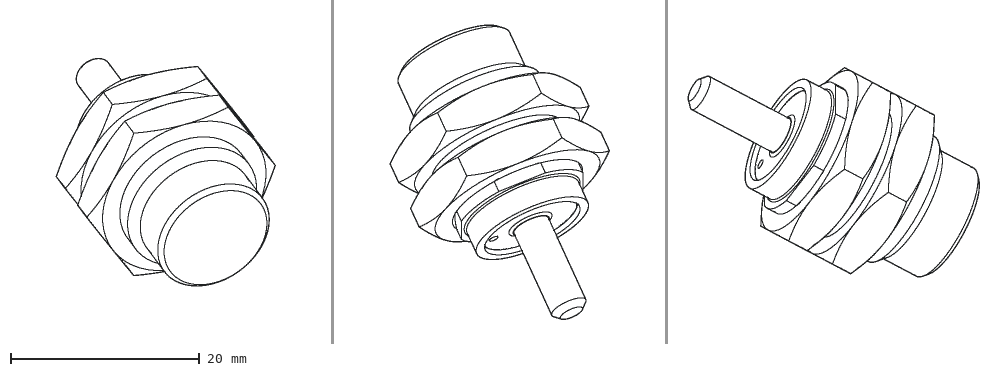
import cadquery as cq
import math

total_length = 32.0
thread_diameter = 15.0
end_diameter = 13.0
front_face_x = 10.5
relief_x = 13.05
shoulder_x = 13.25
relief_diameter = 13.38
rear_cone_end_x = 27.0
rear_cone_start_x = rear_cone_end_x - (thread_diameter - end_diameter) / 2
rear_chamfer = 0.5

recess_diameter = 11.0
recess_depth = 0.5
floor_chamfer = 0.15
guide_base_diameter = 5.0
guide_top_diameter = 4.2
guide_height = 0.2

pin_diameter = 4.0
pin_chamfer = 0.7
vent_diameter = 1.0
vent_depth = 1.0
vent_offset = 4.25

across_flats = 19.0
nut_thickness = 4.0
nut_starts = (14.5, 20.0)
nut_chamfer_angle = 30.0
flats_distance = 14.0
countersink_depth = (thread_diameter - flats_distance) / 2


def turned(points):
    """Revolve a closed (x, radius) outline about the X axis."""
    return cq.Workplane("XY").polyline(points).close().revolve(360, (0, 0, 0), (1, 0, 0))


def make_body():
    end_radius = end_diameter / 2
    thread_radius = thread_diameter / 2
    return turned([
        (front_face_x, 0),
        (front_face_x, end_radius),
        (relief_x, end_radius),
        (shoulder_x, relief_diameter / 2),
        (shoulder_x, thread_radius),
        (rear_cone_start_x, thread_radius),
        (rear_cone_end_x, end_radius),
        (total_length - rear_chamfer, end_radius),
        (total_length, end_radius - rear_chamfer),
        (total_length, 0),
    ])


def make_recess():
    floor_x = front_face_x + recess_depth
    recess_radius = recess_diameter / 2
    return turned([
        (front_face_x, 0),
        (front_face_x, recess_radius),
        (floor_x + floor_chamfer, recess_radius),
        (floor_x, recess_radius - floor_chamfer),
        (floor_x, guide_base_diameter / 2),
        (floor_x - guide_height, guide_top_diameter / 2),
        (floor_x - guide_height, 0),
    ])


def make_pin():
    pin_radius = pin_diameter / 2
    pin_end_x = front_face_x + recess_depth
    return turned([
        (0, 0),
        (0, pin_radius - pin_chamfer),
        (pin_chamfer, pin_radius),
        (pin_end_x, pin_radius),
        (pin_end_x, 0),
    ])


def make_vent():
    vent = cq.Workplane("YZ", origin=(front_face_x, vent_offset, 0)).circle(vent_diameter / 2)
    return vent.extrude(recess_depth + vent_depth)


def make_flats_cut():
    """Material outside a square prism, from the shoulder to just inside the first nut."""
    length = nut_starts[0] + countersink_depth - shoulder_x
    plane = cq.Workplane("YZ", origin=(shoulder_x, 0, 0))
    return plane.circle(thread_diameter).rect(flats_distance, flats_distance).extrude(length)


def make_nut(start_x):
    """Hexagonal nut with corners along Y, chamfered outside and countersunk at both ends."""
    end_x = start_x + nut_thickness
    corner_diameter = across_flats / math.cos(math.radians(30))
    face_radius = across_flats / 2
    corner_radius = corner_diameter / 2
    chamfer_length = (corner_radius - face_radius) * math.tan(math.radians(nut_chamfer_angle))
    bore_radius = flats_distance / 2
    countersink_radius = thread_diameter / 2
    hexagon = cq.Workplane("YZ", origin=(start_x, 0, 0)).polygon(6, corner_diameter).extrude(nut_thickness)
    envelope = turned([
        (start_x, countersink_radius),
        (start_x, face_radius),
        (start_x + chamfer_length, corner_radius),
        (end_x - chamfer_length, corner_radius),
        (end_x, face_radius),
        (end_x, countersink_radius),
        (end_x - countersink_depth, bore_radius),
        (start_x + countersink_depth, bore_radius),
    ])
    return hexagon.intersect(envelope)


result = make_body().cut(make_flats_cut()).cut(make_recess()).cut(make_vent()).union(make_pin())
for nut_start in nut_starts:
    result = result.union(make_nut(nut_start))